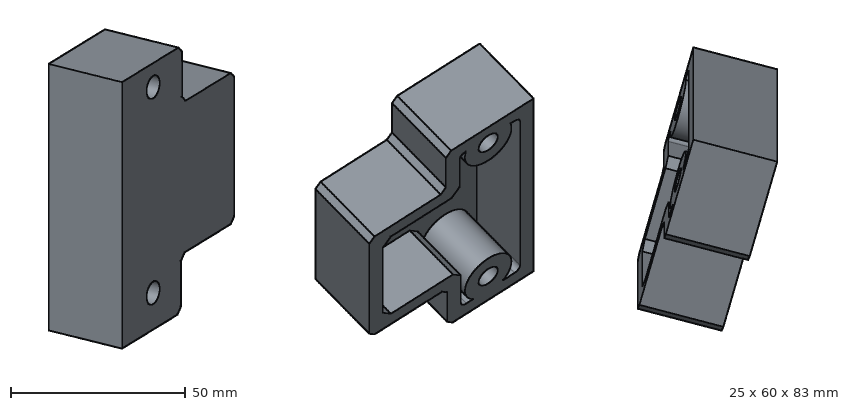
import cadquery as cq

depth = 25.0
width = 60.0
height = 83.0

upper_step_y = 32.0
lower_step_y = 31.5
upper_shoulder_z = 65.1
lower_shoulder_z = 18.0
outer_chamfer = 1.9

wall = 5.0
floor = 5.0
pocket_chamfer = 2.9
pocket_fillet = 2.0

boss_y = 16.6
boss_heights = (11.45, 75.5)
boss_diameter = 17.0
hole_diameter = 7.0


def stepped_prism(inset, length):
    """Extrude the T-shaped outline, moved inward by inset, from the -X face."""
    points = [
        (inset, inset),
        (lower_step_y - inset, inset),
        (lower_step_y - inset, lower_shoulder_z + inset),
        (width - inset, lower_shoulder_z + inset),
        (width - inset, upper_shoulder_z - inset),
        (upper_step_y - inset, upper_shoulder_z - inset),
        (upper_step_y - inset, height - inset),
        (inset, height - inset),
    ]
    return cq.Workplane("YZ").polyline(points).close().extrude(length)


def edges_along_x(y_min, y_max, z_min, z_max):
    """Select the X-direction edges whose centres lie in a Y-Z window."""
    return cq.selectors.BoxSelector((-depth, y_min, z_min), (2 * depth, y_max, z_max))


def boss_cylinders(diameter):
    """Full-depth cylinders on the two screw axes."""
    centres = [(boss_y, z) for z in boss_heights]
    return cq.Workplane("YZ").pushPoints(centres).circle(diameter / 2).extrude(depth)


body = stepped_prism(0, depth)
body = body.edges("|X").edges(edges_along_x(wall, 2 * width, -wall, height + wall)).chamfer(outer_chamfer)

pocket = stepped_prism(wall, depth - floor)
middle_corners = edges_along_x(2 * wall, width, 2 * wall, height - 2 * wall)
pocket = pocket.edges("|X").edges(middle_corners).chamfer(pocket_chamfer)
low_corners = edges_along_x(0, width, 0, 2 * wall)
high_corners = edges_along_x(0, width, height - 2 * wall, height)
pocket = pocket.edges("|X").edges(low_corners + high_corners).fillet(pocket_fillet)

bosses = boss_cylinders(boss_diameter).intersect(body)

result = body.cut(pocket).union(bosses).cut(boss_cylinders(hole_diameter))